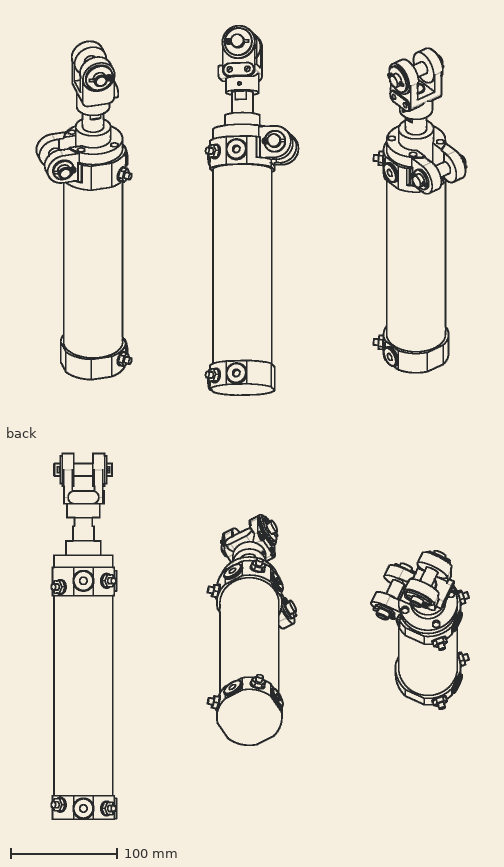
import cadquery as cq


TOTAL_HEIGHT = 344.5
TUBE_RADIUS = 27.75
BASE_HEIGHT = 22.5
CAP_RADIUS = 30.7
CAP_FLAT_X = 29.1
CAP_FLAT_Y = 29.25
COLLAR_BOTTOM = 210.5
COLLAR_TOP = 237.2
HEAD_TOP = 248.7
GLAND_RADIUS = 16.5
GLAND_TOP = 262.0
BASE_PORT_Z = 10.3
HEAD_PORT_Z = COLLAR_BOTTOM + 14.0

ROD_RADIUS = 10.0
ROD_FLAT = 8.5
ROD_FLAT_BOTTOM = 276.0
ROD_TIP_RADIUS = 8.0
ROD_TIP_CHAMFER = 0.81

FITTING_ROOT = 25.0
PLUG_ANGLES = (90, 180)
PLUG_RADIUS = 9.7
PLUG_FACE = 31.5
PLUG_CHAMFER = 0.7
PLUG_HOLE_DIAMETER = 6.93
PLUG_HOLE_DEPTH = 5.0
LEFT_VALVE_ANGLE = 135
RIGHT_VALVE_ANGLE = 45
BASE_RIGHT_VALVE_Z = 13.8
HEAD_RIGHT_VALVE_Z = 218.7
VALVE_WASHER_END = 30.9
VALVE_WASHER_RADIUS = 6.9
VALVE_HEX_END = 35.2
VALVE_HEX_DIAMETER = 13.16
VALVE_HEX_TURN = 30
VALVE_TIP_END = 40.03
VALVE_TIP_RADIUS = 3.0
SCREW_COUNT = 4
SCREW_START_ANGLE = 45
SCREW_CIRCLE_RADIUS = 23.0
SCREW_HOLE_DIAMETER = 6.93
SCREW_HOLE_DEPTH = 6.0

PIN_RADIUS = 6.0
PIN_LEFT_END = -27.0
PIN_RIGHT_END = 28.0
PIN_CHAMFER = 1.0
EYE_INNER = 9.0
EYE_OUTER = 20.0
WASHER_OUTER = 22.0
COTTER_X = 23.7
COTTER_DIAMETER = 2.3

LUG_RADIUS = 15.0
LUG_Y = -35.0
LUG_Z = 232.5
LUG_WASHER_RADIUS = 10.0
LUG_BOTTOM = LUG_Z - LUG_RADIUS
SLOT_HALF = 9.5
SLOT_FLOOR = 214.5
POCKET_WALL_Y = -17.8
POCKET_STEP_Y = -20.7
POCKET_STEP_X = 22.4

FORK_RADIUS = 15.5
FORK_PIN_Z = TOTAL_HEIGHT - FORK_RADIUS
FORK_FLOOR = 309.0
FORK_HUB_BOTTOM = 284.0
FORK_ARM_INNER = 10.3
FORK_ARM_OUTER = 18.3
FORK_WASHER_RADIUS = 13.0
PAD_HEIGHT = 12.0
PAD_HOLE_SPACING = 17.0
PAD_SIDE_FACE = -19.8
PAD_BACK_FACE = 20.6
PAD_HOLE_DIAMETER = 4.92
PAD_HOLE_DEPTH = 8.0
SET_SCREW_DIAMETER = 3.0
SET_SCREW_DEPTH = 3.0
SET_SCREW_Z = 290.0

COTTER_EYE_RADIUS = 2.6
COTTER_EYE_THICKNESS = 2.0
COTTER_EYE_HOLE_RADIUS = 0.8
COTTER_EYE_OFFSET = 8.7
COTTER_LEG_END = -10.3


def disc(radius, bottom, top):
    """Cylinder about the Z axis between two heights."""
    return cq.Workplane("XY").workplane(offset=bottom).circle(radius).extrude(top - bottom)


def x_cylinder(radius, x_start, x_end, y, z):
    """Cylinder parallel to X."""
    section = cq.Workplane("YZ", origin=(x_start, y, z)).circle(radius)
    return section.extrude(x_end - x_start)


def block(x_range, y_range, z_range):
    """Box given by its limits along each axis."""
    low, high = zip(x_range, y_range, z_range)
    sizes = [b - a for a, b in zip(low, high)]
    return cq.Workplane("XY").box(*sizes, centered=False).translate(low)


def cap(bottom, top):
    """Round cap with four flats on its sides."""
    flats = block((-CAP_FLAT_X, CAP_FLAT_X), (-CAP_FLAT_Y, CAP_FLAT_Y), (bottom, top))
    return disc(CAP_RADIUS, bottom, top).intersect(flats)


def port_plug(angle, z):
    """Chamfered plug on a cap flat, pointing away from the axis."""
    plug = disc(PLUG_RADIUS, FITTING_ROOT, PLUG_FACE).faces(">Z").chamfer(PLUG_CHAMFER)
    return aim_outward(plug, angle, z)


def port_plug_hole(angle, z):
    """Blind hole with a conical bottom in the face of a plug."""
    radius = PLUG_HOLE_DIAMETER / 2
    wall_end = PLUG_FACE - PLUG_HOLE_DEPTH
    profile = [(0, PLUG_FACE), (radius, PLUG_FACE), (radius, wall_end), (0, wall_end - radius)]
    hole = cq.Workplane("XZ").polyline(profile).close().revolve(360, (0, 0), (0, 1))
    return aim_outward(hole, angle, z)


def cushion_valve(angle, z):
    """Hexagonal valve on a round washer, with a thin round tip, pointing away from the axis."""
    hexagon = cq.Workplane("XY").workplane(offset=FITTING_ROOT).polygon(6, VALVE_HEX_DIAMETER)
    valve = hexagon.extrude(VALVE_HEX_END - FITTING_ROOT)
    valve = valve.rotate((0, 0, 0), (0, 0, 1), VALVE_HEX_TURN)
    valve = valve.union(disc(VALVE_WASHER_RADIUS, FITTING_ROOT, VALVE_WASHER_END))
    valve = valve.union(disc(VALVE_TIP_RADIUS, FITTING_ROOT, VALVE_TIP_END))
    return aim_outward(valve, angle, z)


def aim_outward(shape, angle, z):
    """Turn a shape built along +Z to point radially at an angle from +X, at a height."""
    level = shape.rotate((0, 0, 0), (0, 1, 0), 90)
    return level.rotate((0, 0, 0), (0, 0, 1), angle).translate((0, 0, z))


def hinge_lug(side):
    """Lug on the head at side = -1 or +1, with its round eye and washer face."""
    lug = block((SLOT_HALF, EYE_OUTER), (LUG_Y, -GLAND_RADIUS), (LUG_BOTTOM, LUG_Z + LUG_RADIUS))
    lug = lug.union(x_cylinder(LUG_RADIUS, EYE_INNER, EYE_OUTER, LUG_Y, LUG_Z))
    lug = lug.union(x_cylinder(LUG_WASHER_RADIUS, EYE_OUTER, WASHER_OUTER, LUG_Y, LUG_Z))
    return lug if side > 0 else lug.mirror("YZ")


def lug_pocket(side):
    """Stepped pocket that clears the side of the collar next to a lug."""
    heights = (LUG_BOTTOM, COLLAR_TOP)
    pocket = block((POCKET_STEP_X, CAP_RADIUS), (-CAP_RADIUS, POCKET_WALL_Y), heights)
    step = block((EYE_OUTER, CAP_RADIUS), (-CAP_RADIUS, POCKET_STEP_Y), heights)
    pocket = pocket.union(step)
    return pocket if side > 0 else pocket.mirror("YZ")


def make_cylinder():
    """Tube, caps, lugs, plugs, valves and piston rod."""
    body = disc(TUBE_RADIUS, 0, HEAD_TOP)
    body = body.union(cap(0, BASE_HEIGHT))
    body = body.union(cap(COLLAR_BOTTOM, COLLAR_TOP))

    for side in (-1, 1):
        body = body.cut(lug_pocket(side))
        body = body.union(hinge_lug(side))

    slot = block((-SLOT_HALF, SLOT_HALF), (-CAP_RADIUS, 0), (SLOT_FLOOR, HEAD_TOP))
    body = body.cut(slot)
    body = body.union(disc(GLAND_RADIUS, SLOT_FLOOR, GLAND_TOP))
    body = body.cut(x_cylinder(PIN_RADIUS, PIN_LEFT_END, PIN_RIGHT_END, LUG_Y, LUG_Z))

    for z in (BASE_PORT_Z, HEAD_PORT_Z):
        for angle in PLUG_ANGLES:
            body = body.union(port_plug(angle, z))
            body = body.cut(port_plug_hole(angle, z))
        body = body.union(cushion_valve(LEFT_VALVE_ANGLE, z))
    for z in (BASE_RIGHT_VALVE_Z, HEAD_RIGHT_VALVE_Z):
        body = body.union(cushion_valve(RIGHT_VALVE_ANGLE, z))

    screw_holes = (
        cq.Workplane("XY")
        .workplane(offset=HEAD_TOP - SCREW_HOLE_DEPTH)
        .polarArray(SCREW_CIRCLE_RADIUS, SCREW_START_ANGLE, 360, SCREW_COUNT)
        .circle(SCREW_HOLE_DIAMETER / 2)
        .extrude(SCREW_HOLE_DEPTH)
    )
    return body.cut(screw_holes).union(make_rod())


def make_rod():
    """Rod with two wrench flats and a thinner tip that fills the fork's bore."""
    rod = disc(ROD_RADIUS, GLAND_TOP, FORK_HUB_BOTTOM)
    flat_heights = (ROD_FLAT_BOTTOM, FORK_HUB_BOTTOM)
    for x_range in ((-ROD_RADIUS, -ROD_FLAT), (ROD_FLAT, ROD_RADIUS)):
        rod = rod.cut(block(x_range, (-ROD_RADIUS, ROD_RADIUS), flat_heights))
    tip = disc(ROD_TIP_RADIUS, GLAND_TOP, FORK_FLOOR).faces(">Z").chamfer(ROD_TIP_CHAMFER)
    return rod.union(tip)


def pad(plane, reach):
    """Raised pad with round ends, from the fork's middle out to its face."""
    outline = cq.Workplane(plane, origin=(0, 0, FORK_FLOOR - PAD_HEIGHT / 2))
    return outline.slot2D(PAD_HOLE_SPACING + PAD_HEIGHT, PAD_HEIGHT).extrude(reach)


def make_fork():
    """Clevis fork with two arms, a round hub and two raised pads."""
    pad_middle = FORK_FLOOR - PAD_HEIGHT / 2
    fork = block(
        (-FORK_ARM_OUTER, FORK_ARM_OUTER),
        (-FORK_RADIUS, FORK_RADIUS),
        (FORK_FLOOR - PAD_HEIGHT, FORK_PIN_Z),
    )
    fork = fork.faces("<Z").edges("|X").fillet(PAD_HEIGHT / 2)
    fork = fork.union(disc(FORK_RADIUS, FORK_HUB_BOTTOM, FORK_FLOOR))
    fork = fork.union(pad("YZ", PAD_SIDE_FACE))
    fork = fork.union(pad("XZ", -PAD_BACK_FACE))
    gap = block(
        (-FORK_ARM_INNER, FORK_ARM_INNER),
        (-FORK_RADIUS, FORK_RADIUS),
        (FORK_FLOOR, TOTAL_HEIGHT),
    )
    fork = fork.cut(gap)

    for side in (-1, 1):
        fork = fork.union(x_cylinder(FORK_RADIUS, side * EYE_INNER, side * EYE_OUTER, 0, FORK_PIN_Z))
        fork = fork.union(
            x_cylinder(FORK_WASHER_RADIUS, side * EYE_OUTER, side * WASHER_OUTER, 0, FORK_PIN_Z)
        )
        screw_y = side * PAD_HOLE_SPACING / 2
        screw_end = PAD_SIDE_FACE + PAD_HOLE_DEPTH
        fork = fork.cut(x_cylinder(PAD_HOLE_DIAMETER / 2, PAD_SIDE_FACE, screw_end, screw_y, pad_middle))

    fork = fork.cut(x_cylinder(PIN_RADIUS, PIN_LEFT_END, PIN_RIGHT_END, 0, FORK_PIN_Z))
    fork = fork.cut(
        x_cylinder(SET_SCREW_DIAMETER / 2, -FORK_RADIUS, SET_SCREW_DEPTH - FORK_RADIUS, 0, SET_SCREW_Z)
    )
    return fork.cut(disc(ROD_TIP_RADIUS, FORK_HUB_BOTTOM, FORK_FLOOR))


def make_cotter(x, y, z):
    """Straight cotter pin along Y with a round eye at its +Y end."""
    shank_length = COTTER_EYE_OFFSET - COTTER_LEG_END
    eye_y = y + COTTER_EYE_OFFSET
    shank = cq.Workplane("XZ", origin=(x, eye_y, z)).circle(COTTER_DIAMETER / 2).extrude(shank_length)
    eye_start = x - COTTER_EYE_THICKNESS / 2
    eye_end = x + COTTER_EYE_THICKNESS / 2
    eye = x_cylinder(COTTER_EYE_RADIUS, eye_start, eye_end, eye_y, z)
    hole = x_cylinder(COTTER_EYE_HOLE_RADIUS, x - COTTER_DIAMETER, x + COTTER_DIAMETER, eye_y, z)
    return shank.union(eye).cut(hole)


def make_pin(y, z):
    """Pivot pin along X, chamfered at its +X end and cross drilled for two cotter pins."""
    pin = x_cylinder(PIN_RADIUS, PIN_LEFT_END, PIN_RIGHT_END, y, z).faces(">X").chamfer(PIN_CHAMFER)
    for x in (-COTTER_X, COTTER_X):
        drill = cq.Workplane("XZ", origin=(x, y + PIN_RADIUS, z)).circle(COTTER_DIAMETER / 2)
        pin = pin.cut(drill.extrude(2 * PIN_RADIUS))
    return pin


cylinder = make_cylinder()
fork = make_fork()
joints = [(LUG_Y, LUG_Z), (0, FORK_PIN_Z)]
pins = [make_pin(y, z).val() for y, z in joints]
cotters = [make_cotter(x, y, z).val() for y, z in joints for x in (-COTTER_X, COTTER_X)]

result = cq.Compound.makeCompound([cylinder.val(), fork.val(), *pins, *cotters])